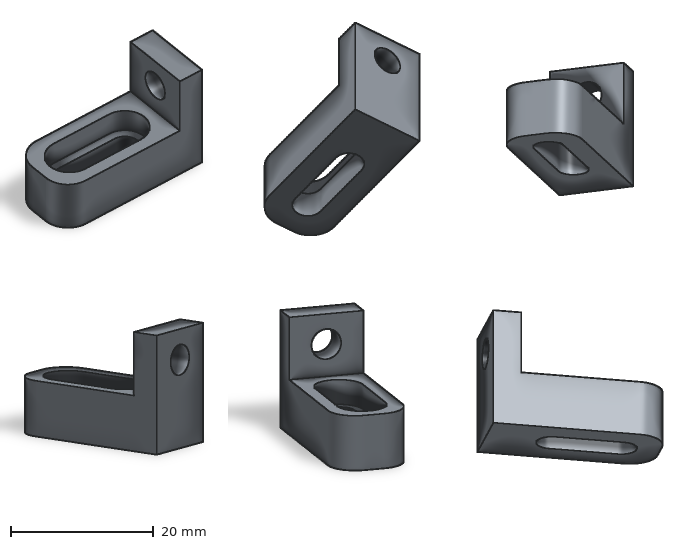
import cadquery as cq

width = 11.0
length = 25.0
height = 17.1
wall_thickness = 4.0
base_height = 8.0
corner_radius = 4.0

screw_diameter = 4.37
hole_drop = 4.4

recess_width = 7.0
recess_margin = 2.0
recess_depth = 3.6

base_length = length - wall_thickness
recess_length = base_length - 2 * recess_margin
slot_travel = recess_length - recess_width
slot_center_y = base_length / 2
hole_z = height - hole_drop


def make_base():
    """Block running along Y from the free end, with rounded free corners."""
    block = cq.Workplane("XY").box(width, length, base_height, centered=(True, False, False))
    return block.edges("|Z and <Y").fillet(corner_radius)


def make_wall():
    """Upright wall with a screw hole through it along Y."""
    wall = (
        cq.Workplane("XY", origin=(0, base_length, 0))
        .box(width, wall_thickness, height, centered=(True, False, False))
    )
    hole = (
        cq.Workplane("XZ", origin=(0, length, hole_z))
        .circle(screw_diameter / 2)
        .extrude(wall_thickness)
    )
    return wall.cut(hole)


def make_slot(slot_width, depth):
    """Round-ended slot cutter reaching down from the top of the base."""
    return (
        cq.Workplane("XY", origin=(0, slot_center_y, base_height))
        .slot2D(slot_travel + slot_width, slot_width, 90)
        .extrude(-depth)
    )


base = make_base()
wall = make_wall()
recess = make_slot(recess_width, recess_depth)
through_slot = make_slot(screw_diameter, base_height)

result = base.union(wall).cut(recess).cut(through_slot)